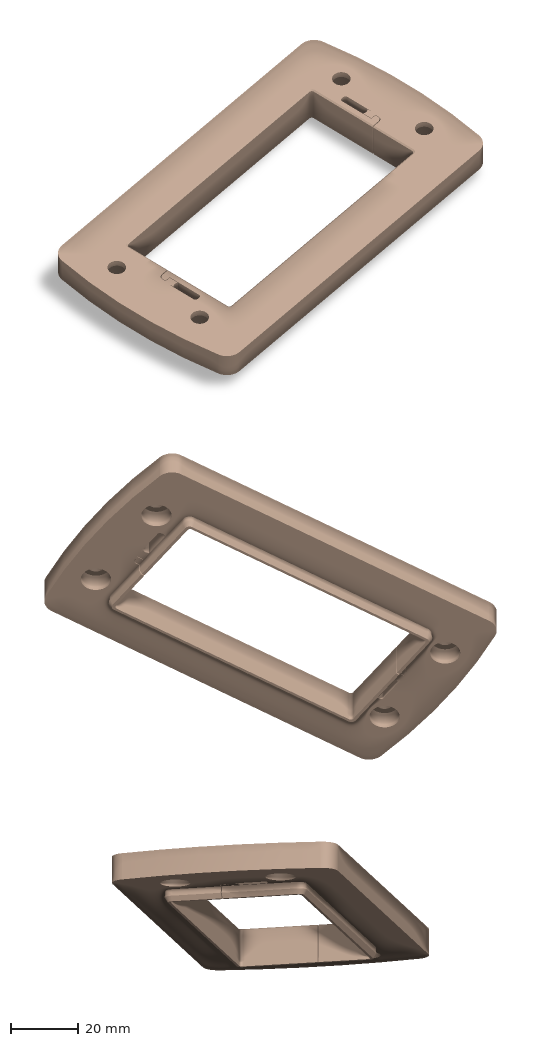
import cadquery as cq
import math

plate_width = 69.0
plate_length = 125.0
plate_thickness = 8.0
end_arc_radius = 180.0
plate_corner_radius = 5.0

total_height = 11.5
rim_width = 43.2
rim_length = 88.4
rim_corner_radius = 2.3
bead_projection = 0.15
bead_top_z = -9.6
bead_bottom_z = -10.0
bead_taper_inset = 0.9

window_width = 40.0
window_length = 84.9
window_corner_radius = 0.9
bevel_width = 0.5
bevel_depth = 0.35

hole_diameter = 5.5
counterbore_diameter = 9.0
counterbore_ceiling_depth = 2.0
hole_spacing_x = 32.2
hole_spacing_y = 103.2

slot_inner_y = 44.6
slot_outer_y = 47.0
slot_closed_x = -10.7
slot_tooth_x = -2.0
tooth_hollow_depth = 0.5
tooth_relief_x = -0.9
slot_end_radius = 0.8
slit_width = 0.15
hook_inner_x = 1.35
hook_tip_x = 3.9
hook_outer_y = 46.6
hook_corner_radius = 1.4
arm_gap = 0.3


def make_plate():
    """Flat plate with straight long sides, bowed short ends and rounded corners."""
    side_y = plate_length / 2 - end_arc_radius + math.sqrt(end_arc_radius**2 - (plate_width / 2) ** 2)
    half_width = plate_width / 2
    half_length = plate_length / 2
    return (
        cq.Workplane("XY")
        .moveTo(-half_width, -side_y)
        .threePointArc((0, -half_length), (half_width, -side_y))
        .lineTo(half_width, side_y)
        .threePointArc((0, half_length), (-half_width, side_y))
        .close()
        .extrude(-plate_thickness)
        .edges("|Z")
        .fillet(plate_corner_radius)
    )


def rounded_block(width, length, radius, top_z, bottom_z):
    return (
        cq.Workplane("XY", origin=(0, 0, top_z))
        .rect(width, length)
        .extrude(bottom_z - top_z)
        .edges("|Z")
        .fillet(radius)
    )


def make_rim():
    """Straight wall carrying a low bead that tapers inward to the bottom face."""
    wall = rounded_block(rim_width, rim_length, rim_corner_radius, -plate_thickness, bead_top_z)
    bead = rounded_block(
        rim_width + 2 * bead_projection,
        rim_length + 2 * bead_projection,
        rim_corner_radius + bead_projection,
        bead_top_z,
        -total_height,
    )
    taper_height = total_height + bead_bottom_z
    return wall.union(bead.faces("<Z").chamfer(taper_height, bead_taper_inset))


def make_window():
    """Window opening with a shallow bevel around its top edge."""
    opening = rounded_block(window_width, window_length, window_corner_radius, 0, -total_height)
    plug_top = rounded_block(
        window_width + 2 * bevel_width,
        window_length + 2 * bevel_width,
        window_corner_radius + bevel_width,
        bevel_depth,
        -bevel_depth,
    )
    return opening.union(plug_top.faces("<Z").chamfer(bevel_depth, bevel_width))


def hole_pattern(diameter, top_z, bottom_z):
    return (
        cq.Workplane("XY", origin=(0, 0, top_z))
        .rect(hole_spacing_x, hole_spacing_y, forConstruction=True)
        .vertices()
        .circle(diameter / 2)
        .extrude(bottom_z - top_z)
    )


def make_holes():
    """Through holes, widened from below the top skin down to the underside."""
    bores = hole_pattern(hole_diameter, 0, -plate_thickness)
    return bores.union(hole_pattern(counterbore_diameter, -counterbore_ceiling_depth, -plate_thickness))


def make_slot():
    """Slot behind the arm; the tooth at its open end has a hollow tip and a thin relief beside it."""
    slot_middle_y = (slot_inner_y + slot_outer_y) / 2
    return (
        cq.Workplane("XY")
        .moveTo(slot_closed_x, slot_inner_y)
        .lineTo(slot_tooth_x, slot_inner_y)
        .threePointArc(
            (slot_tooth_x + tooth_hollow_depth, slot_middle_y),
            (slot_tooth_x, slot_outer_y - slit_width),
        )
        .lineTo(tooth_relief_x, slot_outer_y - slit_width)
        .lineTo(tooth_relief_x, slot_outer_y)
        .lineTo(slot_closed_x, slot_outer_y)
        .close()
        .extrude(-total_height)
        .edges("|Z and <X")
        .fillet(slot_end_radius)
    )


def make_slit():
    """Thin cut from the slot, around the hook at the end of the arm, into the window."""
    outer_leg_x = hook_tip_x - arm_gap / 2
    window_leg_x = hook_tip_x + arm_gap / 2
    wall_y = slot_inner_y + slit_width
    hook_wall_y = hook_outer_y - slit_width
    inner_radius = hook_corner_radius - slit_width
    start_x = slot_tooth_x - slit_width
    window_middle_y = 0
    return (
        cq.Workplane("XY")
        .moveTo(start_x, slot_inner_y)
        .lineTo(hook_inner_x + slit_width, slot_inner_y)
        .lineTo(hook_inner_x + slit_width, hook_wall_y)
        .lineTo(outer_leg_x - inner_radius, hook_wall_y)
        .radiusArc((outer_leg_x, hook_wall_y - inner_radius), inner_radius)
        .lineTo(outer_leg_x, window_middle_y)
        .lineTo(window_leg_x, window_middle_y)
        .lineTo(window_leg_x, hook_outer_y - hook_corner_radius)
        .radiusArc((window_leg_x - hook_corner_radius, hook_outer_y), -hook_corner_radius)
        .lineTo(hook_inner_x, hook_outer_y)
        .lineTo(hook_inner_x, wall_y)
        .lineTo(start_x, wall_y)
        .close()
        .extrude(-total_height)
    )


def make_arm_relief():
    return make_slot().union(make_slit())


result = make_plate().union(make_rim()).cut(make_window()).cut(make_holes())
relief = make_arm_relief()
for angle in (0, 180):
    result = result.cut(relief.rotate((0, 0, 0), (0, 0, 1), angle))